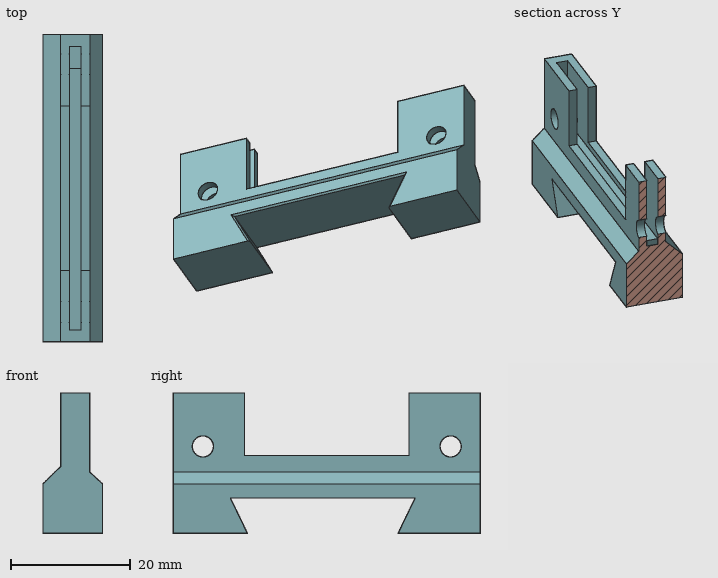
import cadquery as cq

length = 51.4
width = 10.0
height = 23.5

base_height = 8.3
left_shoulder_width = 3.0
left_shoulder_top = 11.2
right_shoulder_width = 2.15
right_shoulder_top = 10.3
wall_left = left_shoulder_width
wall_right = width - right_shoulder_width
wall_center = (wall_left + wall_right) / 2

tower_length = 12.0
ledge_height = 13.05

slot_width = 1.95
slot_end_wall = 2.0
slot_floor = 12.05
well_length = 3.65
well_depth = 1.05

hole_diameter = 3.5
hole_end_distance = 5.0
hole_height = 14.55

dovetail_center = -0.65
dovetail_height = 5.9
dovetail_top_width = 30.85
dovetail_bottom_width = 25.15
dovetail_chamfer = 0.3


def box_between(x_min, x_max, y_min, y_max, z_min, z_max):
    """Return an axis-aligned box given by its limits."""
    size = (x_max - x_min, y_max - y_min, z_max - z_min)
    return cq.Workplane("XY").box(*size, centered=False).translate((x_min, y_min, z_min))


def make_body():
    """Extrude the shouldered cross-section along Y."""
    outline = [
        (0, 0),
        (width, 0),
        (width, base_height),
        (wall_right, right_shoulder_top),
        (wall_right, height),
        (wall_left, height),
        (wall_left, left_shoulder_top),
        (0, base_height),
    ]
    return cq.Workplane("XZ").polyline(outline).close().extrude(length / 2, both=True)


def make_tower_gap():
    """Remove the middle of the wall down to the ledge."""
    half_gap = length / 2 - tower_length
    return box_between(0, width, -half_gap, half_gap, ledge_height, height)


def make_slot():
    """Cut the long slot and the well at its +Y end."""
    x_min = wall_center - slot_width / 2
    x_max = wall_center + slot_width / 2
    y_end = length / 2 - slot_end_wall
    slot = box_between(x_min, x_max, -y_end, y_end, slot_floor, height)
    well = box_between(x_min, x_max, y_end - well_length, y_end, slot_floor - well_depth, height)
    return slot.union(well)


def make_cross_holes():
    """Cut one hole along X through each tower."""
    hole_y = length / 2 - hole_end_distance
    centers = [(-hole_y, hole_height), (hole_y, hole_height)]
    return cq.Workplane("YZ").pushPoints(centers).circle(hole_diameter / 2).extrude(width)


def make_dovetail():
    """Cut the undercut channel along X, chamfered where it meets the -X face."""
    bottom_half = dovetail_bottom_width / 2
    top_half = dovetail_top_width / 2
    outline = [
        (dovetail_center - bottom_half, 0),
        (dovetail_center + bottom_half, 0),
        (dovetail_center + top_half, dovetail_height),
        (dovetail_center - top_half, dovetail_height),
    ]
    return cq.Workplane("YZ").polyline(outline).close().extrude(width)


def chamfer_dovetail_mouth(body):
    """Break the three channel edges on the -X face."""
    reach = dovetail_top_width / 2 + dovetail_chamfer
    mouth = cq.selectors.BoxSelector(
        (-dovetail_chamfer, dovetail_center - reach, dovetail_chamfer),
        (dovetail_chamfer, dovetail_center + reach, dovetail_height + dovetail_chamfer),
    )
    return body.edges(mouth).chamfer(dovetail_chamfer)


body = make_body().cut(make_dovetail())
body = chamfer_dovetail_mouth(body)
result = body.cut(make_tower_gap()).cut(make_slot()).cut(make_cross_holes())